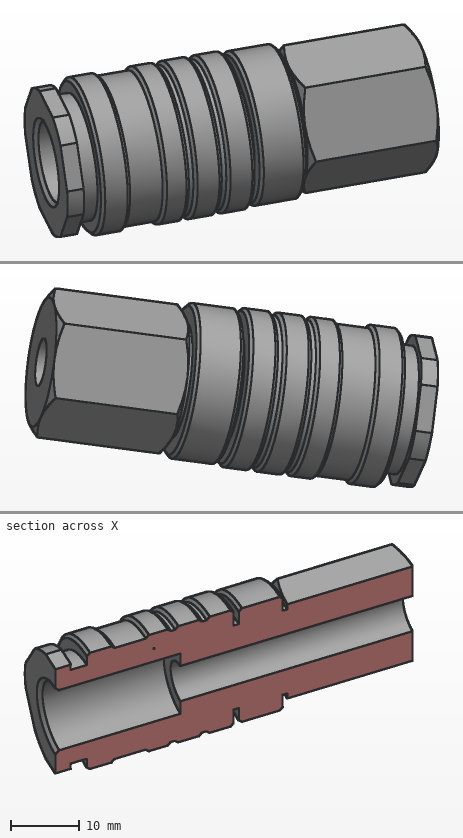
import cadquery as cq
import math

length = 57.0

collar_diameter = 22.1
collar_across_flats = 21.05
collar_length = 2.5

ring_diameter = 23.5
ring_chamfer = 0.5
sleeve_diameter = ring_diameter - 2 * ring_chamfer
sleeve_start = 5.0
front_ring_length = 4.45
grip_ring_start = 14.4
grip_ring_lengths = (4.0, 4.35, 4.35)
grip_ring_gap = 0.7
sleeve_end = grip_ring_start + sum(grip_ring_lengths) + (len(grip_ring_lengths) - 1) * grip_ring_gap

band_diameter = 22.95
band_start = 29.25
band_length = 7.05
front_neck_diameter = 19.0
rear_neck_diameter = 17.05

hex_across_flats = 19.05
hex_start = 37.0
hex_length = length - hex_start
hex_face_diameter = hex_across_flats
hex_chamfer_angle = 30.0

socket_diameter = 12.0
socket_depth = 19.95
socket_chamfer = 0.6
bore_diameter = 7.0


def cylinder(start, size, diameter):
    """Cylinder on the Y axis, running from y = start to start + size."""
    return cq.Workplane("XZ", origin=(0, start, 0)).circle(diameter / 2).extrude(-size)


def chamfered_ring(start, size, diameter):
    return cylinder(start, size, diameter).edges("%CIRCLE").chamfer(ring_chamfer)


def hexagon(start, size, across_flats):
    """Hexagonal prism on the Y axis with flats at the top and bottom."""
    across_corners = across_flats / math.cos(math.pi / 6)
    return cq.Workplane("XZ", origin=(0, start, 0)).polygon(6, across_corners).extrude(-size)


def mouth_collar():
    return cylinder(0, collar_length, collar_diameter).intersect(
        hexagon(0, collar_length, collar_across_flats)
    )


def sleeve():
    body = cylinder(sleeve_start, sleeve_end - sleeve_start, sleeve_diameter)
    body = body.union(chamfered_ring(sleeve_start, front_ring_length, ring_diameter))
    start = grip_ring_start
    for ring_length in grip_ring_lengths:
        body = body.union(chamfered_ring(start, ring_length, ring_diameter))
        start += ring_length + grip_ring_gap
    return body


def wrench_end():
    """Hexagon whose corners are trimmed by a cone at each end."""
    corner_radius = hex_across_flats / (2 * math.cos(math.pi / 6))
    face_radius = hex_face_diameter / 2
    cone_length = (corner_radius - face_radius) * math.tan(math.radians(hex_chamfer_angle))
    envelope = (
        cq.Workplane("XY")
        .moveTo(0, hex_start)
        .lineTo(face_radius, hex_start)
        .lineTo(corner_radius, hex_start + cone_length)
        .lineTo(corner_radius, length - cone_length)
        .lineTo(face_radius, length)
        .lineTo(0, length)
        .close()
        .revolve(360, (0, 0, 0), (0, 1, 0))
    )
    return hexagon(hex_start, hex_length, hex_across_flats).intersect(envelope)


def stepped_bore():
    bore_radius = bore_diameter / 2
    socket_radius = socket_diameter / 2
    return (
        cq.Workplane("XY")
        .moveTo(0, 0)
        .lineTo(socket_radius + socket_chamfer, 0)
        .lineTo(socket_radius, socket_chamfer)
        .lineTo(socket_radius, socket_depth)
        .lineTo(bore_radius, socket_depth)
        .lineTo(bore_radius, length)
        .lineTo(0, length)
        .close()
        .revolve(360, (0, 0, 0), (0, 1, 0))
    )


front_neck = cylinder(collar_length, sleeve_start - collar_length, front_neck_diameter)
rear_neck = cylinder(sleeve_start, hex_start - sleeve_start, rear_neck_diameter)

result = (
    front_neck.union(rear_neck)
    .union(mouth_collar())
    .union(sleeve())
    .union(chamfered_ring(band_start, band_length, band_diameter))
    .union(wrench_end())
    .cut(stepped_bore())
)